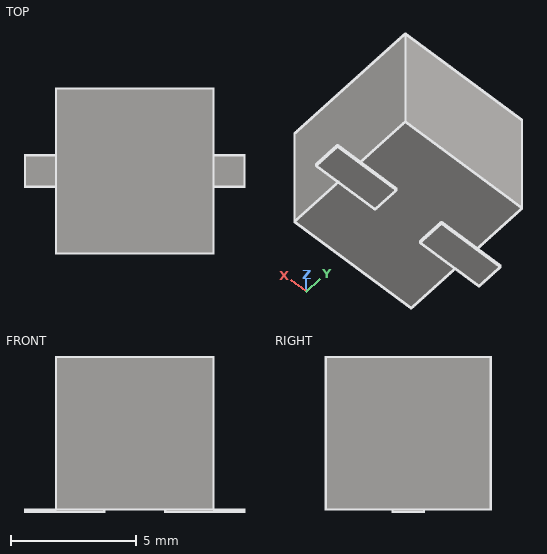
import cadquery as cq

overall_length = 8.78
overall_height = 6.2

housing_length = 6.3
housing_width = 6.6

lead_length = 3.18
lead_width = 1.27
lead_thickness = 0.1

housing_height = overall_height - lead_thickness
lead_center_x = (overall_length - lead_length) / 2


def make_housing():
    """Plain block whose flat underside rests on the leads."""
    return (
        cq.Workplane("XY")
        .workplane(offset=lead_thickness)
        .rect(housing_length, housing_width)
        .extrude(housing_height)
    )


def make_lead(side):
    """Flat strip on the -X (side = -1) or +X (side = 1) end, partly under the housing."""
    return (
        cq.Workplane("XY")
        .center(side * lead_center_x, 0)
        .rect(lead_length, lead_width)
        .extrude(lead_thickness)
    )


housing = make_housing()
leads = [make_lead(side) for side in (-1, 1)]

result = cq.Compound.makeCompound([housing.val(), *[lead.val() for lead in leads]])